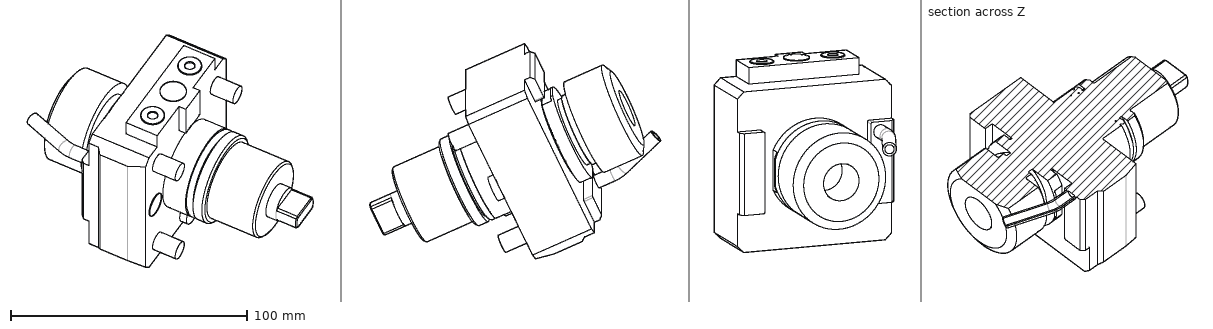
import cadquery as cq
import math


body_depth = 27.5
body_half = 35.0
corner_chamfer = 2.9
side_pad_y = 37.0
pad_front_foot = 22.9
pad_front_edge = 21.1
pad_rear_edge = 7.8

panel_height = 35.6
panel_thickness = 4.1
panel_inner_y = 24.0
panel_outer_y = body_half
panel_chamfer = 1.6
panel_fillet = 0.7

nut_radius = 21.0
nut_front_radius = 17.1
nut_front_x = -59.1
nut_chamfer_depth = 2.2
nut_rear_x = -39.3
bore_radius = 8.0
neck_radius = 16.0
neck_step_x = -36.0
rear_neck_radius = 15.1
collar_front_x = -33.8
collar_lip_rear_x = -32.7
collar_rear_x = -28.3
collar_lip_half_width = 20.1
collar_half_width = 19.0
collar_neck_radius = 18.3

spigot_radius = 20.1
spigot_length = 11.0
seal_section_radius = 1.5
seal_centre_x = 12.3
seal_groove_radius = 17.5
flange_front_x = 14.6
flange_rear_x = 19.9
flange_chamfer = 1.0
shank_radius = 17.4
shank_rear_x = 42.9
shank_chamfer = 0.9
shaft_radius = 7.5
tang_front_x = 47.8
tang_rear_x = 57.8
tang_thickness = 7.1
tang_edge_chamfer = 0.7
tang_end_chamfer = 0.5

pin_radius = 4.0
pin_length = 11.0
pin_offset = 25.0
dowel_radius = 5.5
dowel_length = 3.3
plug_radius = 5.2
plug_height = 0.4
plug_y = -26.8

block_depth = 15.1
block_half_width = 25.0
block_top_z = 42.2
tongue_width = 12.2
tongue_length = 3.3
tongue_bottom_z = 26.8
button_height = 0.4
screw_x = -7.2
screw_spacing = 32.2
screw_radius = 5.1
screw_chamfer = 0.2
socket_radius = 2.2
socket_depth = 0.7
disc_x = -6.2
disc_radius = 5.6

overall_length = 122.0
tube_radius = 2.9
tube_bore_radius = 2.0
tube_y = -28.2
tube_z = 13.5
tube_bend_x = -39.3
tube_bend_radius = 13.5
tube_angle = math.radians(20)


def x_cylinder(radius, x_start, length, y=0.0, z=0.0):
    """Cylinder along +X."""
    return cq.Workplane("YZ", origin=(x_start, y, z)).circle(radius).extrude(length)


def make_body():
    """Square block with a raised -Y pad and chamfered edges along X."""
    plan = [
        (-body_depth, body_half),
        (-body_depth, -body_half),
        (-pad_front_foot, -body_half),
        (-pad_front_edge, -side_pad_y),
        (-pad_rear_edge, -side_pad_y),
        (0, -body_half),
        (0, body_half),
    ]
    block = (
        cq.Workplane("XY", origin=(0, 0, -body_half))
        .polyline(plan).close().extrude(2 * body_half)
    )
    chamfer_start = body_half - corner_chamfer
    pad_corner_z = body_half + chamfer_start - side_pad_y
    envelope = [
        (body_half, chamfer_start),
        (chamfer_start, body_half),
        (-chamfer_start, body_half),
        (-side_pad_y, pad_corner_z),
        (-side_pad_y, -pad_corner_z),
        (-chamfer_start, -body_half),
        (chamfer_start, -body_half),
        (body_half, -chamfer_start),
    ]
    octagon = cq.Workplane("YZ", origin=(-body_depth, 0, 0)).polyline(envelope).close().extrude(body_depth)
    return block.intersect(octagon)


def make_panel(side):
    """Guide panel on the front face; side is +1 or -1 along Y."""
    width = panel_outer_y - panel_inner_y
    panel = (
        cq.Workplane("XY")
        .box(panel_thickness, width, panel_height)
        .edges("<X and >Y").chamfer(panel_chamfer)
        .edges("|X and <Y").fillet(panel_fillet)
    )
    if side < 0:
        panel = panel.mirror("XZ")
    centre_y = side * (panel_inner_y + panel_outer_y) / 2
    return panel.translate((-body_depth - panel_thickness / 2, centre_y, 0))


def make_spindle_front():
    """Collet nut, stepped neck and collar with wrench flats."""
    nut_edge_x = nut_front_x + nut_chamfer_depth
    profile = [
        (nut_front_x, 0),
        (nut_front_x, nut_front_radius),
        (nut_edge_x, nut_radius),
        (nut_rear_x, nut_radius),
        (nut_rear_x, neck_radius),
        (neck_step_x, neck_radius),
        (neck_step_x, rear_neck_radius),
        (collar_front_x, rear_neck_radius),
        (collar_front_x, collar_neck_radius),
        (-body_depth, collar_neck_radius),
        (-body_depth, 0),
    ]
    front = cq.Workplane("XY").polyline(profile).close().revolve(360, (0, 0, 0), (1, 0, 0))
    stages = [
        (collar_front_x, collar_lip_rear_x, collar_lip_half_width),
        (collar_lip_rear_x, collar_rear_x, collar_half_width),
    ]
    for x_start, x_end, half_width in stages:
        length = x_end - x_start
        slab = (
            cq.Workplane("YZ", origin=(x_start, 0, 0))
            .rect(2 * half_width, 2 * nut_radius).extrude(length)
        )
        front = front.union(x_cylinder(nut_radius, x_start, length).intersect(slab))
    return front.cut(x_cylinder(bore_radius, nut_front_x, nut_rear_x - nut_front_x))


def make_spindle_rear():
    """Spigot with seal ring, flange, shank and round drive shaft."""
    seal_ring_radius = spigot_radius - seal_section_radius
    seal = (
        cq.Workplane("XY", origin=(seal_centre_x, seal_ring_radius, 0))
        .circle(seal_section_radius)
        .revolve(360, (0, -seal_ring_radius, 0), (1, -seal_ring_radius, 0))
    )
    turned = (
        cq.Workplane("XY")
        .lineTo(0, spigot_radius)
        .lineTo(spigot_length, spigot_radius)
        .lineTo(spigot_length, seal_groove_radius)
        .lineTo(flange_front_x, seal_groove_radius)
        .lineTo(flange_front_x, spigot_radius)
        .lineTo(flange_rear_x - flange_chamfer, spigot_radius)
        .lineTo(flange_rear_x, spigot_radius - flange_chamfer)
        .lineTo(flange_rear_x, shank_radius)
        .lineTo(shank_rear_x - shank_chamfer, shank_radius)
        .lineTo(shank_rear_x, shank_radius - shank_chamfer)
        .lineTo(shank_rear_x, shaft_radius)
        .lineTo(tang_front_x, shaft_radius)
        .lineTo(tang_front_x, 0)
        .close()
        .revolve(360, (0, 0, 0), (1, 0, 0))
    )
    return turned.union(seal)


def make_tang():
    """Two-flat drive tang at the rear end."""
    length = tang_rear_x - tang_front_x
    round_bar = x_cylinder(shaft_radius, tang_front_x, length)
    flats = (
        cq.Workplane("YZ", origin=(tang_front_x, 0, 0))
        .rect(2 * shaft_radius, tang_thickness).extrude(length)
    )
    tang = round_bar.intersect(flats)
    return tang.edges("|X").edges(">Z or <Z").chamfer(tang_edge_chamfer).faces(">X").chamfer(tang_end_chamfer)


def make_rear_fittings():
    """Four pins, the locating dowel and the flat plug on the rear face."""
    fittings = x_cylinder(dowel_radius, 0, dowel_length, 0, dowel_radius - body_half)
    fittings = fittings.union(x_cylinder(plug_radius, 0, plug_height, plug_y, 0))
    for y in (-pin_offset, pin_offset):
        for z in (-pin_offset, pin_offset):
            fittings = fittings.union(x_cylinder(pin_radius, 0, pin_length, y, z))
    return fittings


def make_key_block():
    """Top block with its rear tongue, two socket screws and a disc."""
    block = (
        cq.Workplane("XY", origin=(-block_depth / 2, 0, body_half))
        .rect(block_depth, 2 * block_half_width).extrude(block_top_z - body_half)
    )
    tongue = (
        cq.Workplane("XY", origin=(tongue_length / 2, 0, tongue_bottom_z))
        .rect(tongue_length, tongue_width).extrude(block_top_z - tongue_bottom_z)
    )
    disc = (
        cq.Workplane("XY", origin=(disc_x, 0, block_top_z))
        .circle(disc_radius).extrude(button_height)
    )
    block = block.union(tongue).union(disc)
    for y in (-screw_spacing / 2, screw_spacing / 2):
        head = (
            cq.Workplane("XY", origin=(screw_x, y, block_top_z))
            .circle(screw_radius).extrude(button_height)
            .faces(">Z").chamfer(screw_chamfer)
        )
        socket = (
            cq.Workplane("XY", origin=(screw_x, y, block_top_z + button_height))
            .circle(socket_radius).extrude(-socket_depth)
        )
        block = block.union(head).cut(socket)
    return block


def make_tube():
    """Hollow coolant tube: straight out of the panel, then bent toward the spindle."""
    sin_a = math.sin(tube_angle)
    cos_a = math.cos(tube_angle)
    bend_end_x = tube_bend_x - tube_bend_radius * sin_a
    bend_end_y = tube_y + tube_bend_radius * (1 - cos_a)
    tip_x = tang_rear_x - overall_length + tube_radius * sin_a
    tip_y = bend_end_y + (bend_end_x - tip_x) * math.tan(tube_angle)
    half_angle = tube_angle / 2
    bend_mid = (
        tube_bend_x - tube_bend_radius * math.sin(half_angle),
        tube_y + tube_bend_radius * (1 - math.cos(half_angle)),
    )
    path = (
        cq.Workplane("XY", origin=(0, 0, tube_z))
        .moveTo(-body_depth - panel_thickness, tube_y)
        .lineTo(tube_bend_x, tube_y)
        .threePointArc(bend_mid, (bend_end_x, bend_end_y))
        .lineTo(tip_x, tip_y)
    )
    start = cq.Workplane("YZ", origin=(-body_depth - panel_thickness, tube_y, tube_z))
    return start.circle(tube_radius).circle(tube_bore_radius).sweep(path)


result = (
    make_body()
    .union(make_panel(1))
    .union(make_panel(-1))
    .union(make_spindle_front())
    .union(make_spindle_rear())
    .union(make_tang())
    .union(make_rear_fittings())
    .union(make_key_block())
    .union(make_tube())
    .clean()
)